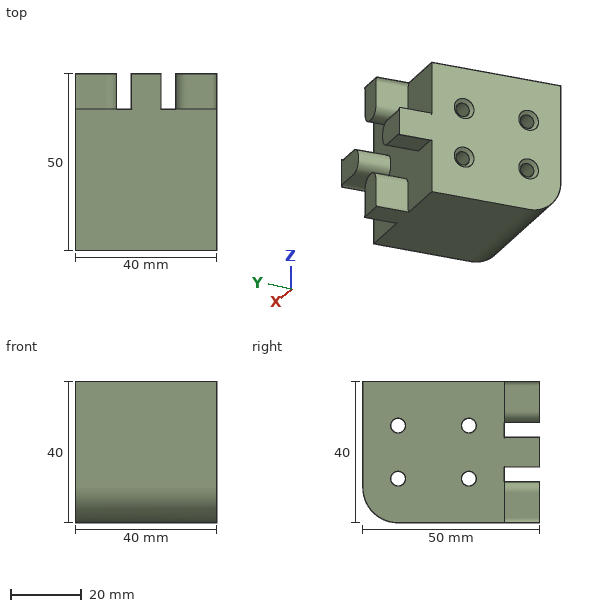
import cadquery as cq
import math

width = 40.0
height = 40.0
block_depth = 40.0
front_edge_radius = 10.0

tab_length = 10.0
tab_reach = 11.65
tab_width = 8.5
tab_end_radius = 3.1
flare_height = 1.3
flare_depth = 0.55

hole_diameter = 4.1
countersink_diameter = 6.1
countersink_angle = 90.0
hole_spacing_y = 20.0
hole_spacing_z = 15.0
hole_center_y = 20.0
hole_center_z = 20.0


def make_block():
    """Block with its lower front edge rounded."""
    block = cq.Workplane("XY").box(width, block_depth, height, centered=False)
    return block.edges("|X and <Y and <Z").fillet(front_edge_radius)


def make_top_tab():
    """Tab reaching inward from the top edge: flared root, straight neck, rounded end."""
    outer_half = tab_width / 2
    neck_half = outer_half - flare_depth
    neck_top = height - flare_height
    end_z = height - tab_reach
    end_half = neck_half - tab_end_radius
    round_center_z = end_z + tab_end_radius
    flare_radius = (flare_height**2 + flare_depth**2) / (2 * flare_depth)
    half_sweep = math.asin(flare_height / flare_radius) / 2
    flare_mid_x = neck_half + flare_radius * (1 - math.cos(half_sweep))
    flare_mid_z = neck_top + flare_radius * math.sin(half_sweep)
    round_offset = tab_end_radius * math.sqrt(0.5)
    round_mid_x = end_half + round_offset
    round_mid_z = round_center_z - round_offset

    center_x = width / 2
    profile = (
        cq.Workplane("XZ", origin=(center_x, block_depth, 0))
        .moveTo(-outer_half, height)
        .lineTo(outer_half, height)
        .threePointArc((flare_mid_x, flare_mid_z), (neck_half, neck_top))
        .lineTo(neck_half, round_center_z)
        .threePointArc((round_mid_x, round_mid_z), (end_half, end_z))
        .lineTo(-end_half, end_z)
        .threePointArc((-round_mid_x, round_mid_z), (-neck_half, round_center_z))
        .lineTo(-neck_half, neck_top)
        .threePointArc((-flare_mid_x, flare_mid_z), (-outer_half, height))
        .close()
    )
    return profile.extrude(-tab_length)


def add_tabs(body):
    """One tab from the middle of each side of the back face."""
    tab = make_top_tab()
    axis_start = (width / 2, 0, height / 2)
    axis_end = (width / 2, 1, height / 2)
    for quarter_turn in range(4):
        body = body.union(tab.rotate(axis_start, axis_end, 90 * quarter_turn))
    return body


def drill_holes(body):
    """Four through holes, countersunk on the -X side."""
    return (
        body.faces("<X")
        .workplane(origin=(0, hole_center_y, hole_center_z))
        .rarray(hole_spacing_y, hole_spacing_z, 2, 2)
        .cskHole(hole_diameter, countersink_diameter, countersink_angle)
    )


result = drill_holes(add_tabs(make_block()))